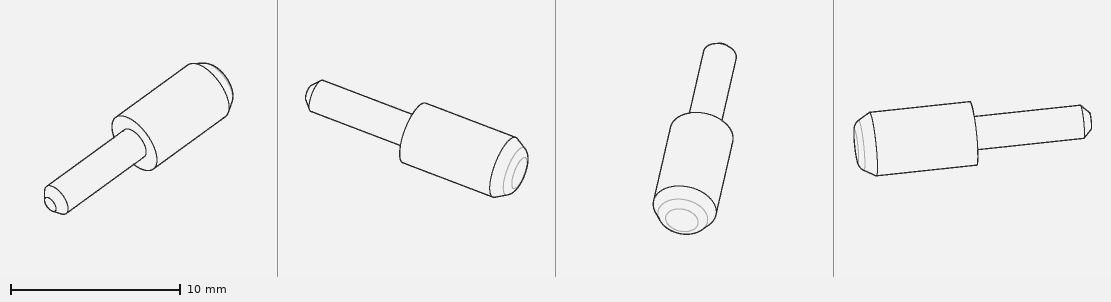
import cadquery as cq
import math

total_length = 14.0
body_length = total_length / 2
stem_length = total_length - body_length
body_radius = 3.8 / 2
stem_radius = 1.0
stem_chamfer = 0.5
nose_length = 1.0
nose_half_angle = 30.0
nose_round = 0.6

nose_tip_radius = body_radius - nose_length * math.tan(math.radians(nose_half_angle))


def make_body():
    """Large cylinder with a tapered nose, rounded at its end face."""
    profile = (
        cq.Workplane("XY")
        .lineTo(body_radius, 0)
        .lineTo(body_radius, body_length - nose_length)
        .lineTo(nose_tip_radius, body_length)
        .lineTo(0, body_length)
        .close()
    )
    body = profile.revolve(360, (0, 0, 0), (0, 1, 0))
    return body.faces(">Y").edges().fillet(nose_round)


def make_stem():
    """Thin cylinder with a chamfered free end."""
    stem = cq.Workplane("XZ").circle(stem_radius).extrude(stem_length)
    return stem.faces("<Y").chamfer(stem_chamfer)


result = make_body().union(make_stem())